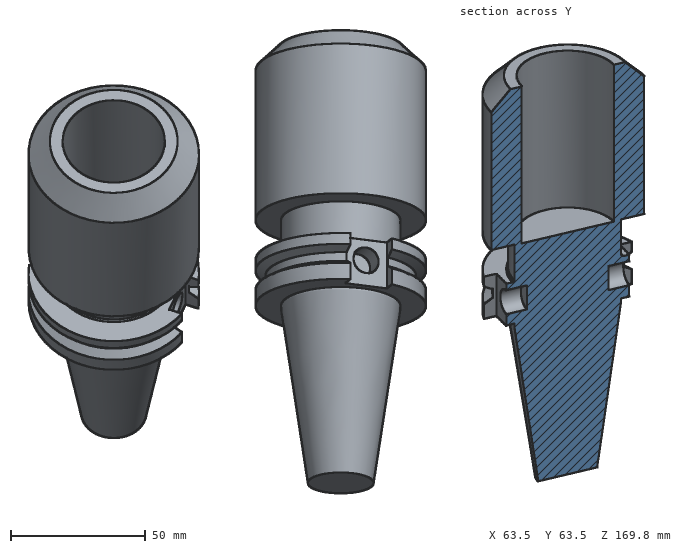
import cadquery as cq

taper_top_z = 68.5
flange_bottom_z = 69.5
flange_top_z = 87.5
body_bottom_z = 103.1
total_height = 169.8

gauge_diameter = 44.5
taper_ratio = 7 / 24
neck_flare = 0.7

flange_diameter = 63.5
groove_diameter = 56.2
groove_floor_bottom_z = 77.8
groove_floor_width = 3.4
groove_side_height = 2.0

body_diameter = 63.5
nose_diameter = 47.5
nose_height = 8.0
bore_diameter = 38.0
bore_depth = total_height - body_bottom_z

slot_width = 16.6
slot_floor_x = 25.5
drive_hole_diameter = 10.0
drive_hole_depth = 8.5

gauge_radius = gauge_diameter / 2
tip_radius = (gauge_diameter - taper_top_z * taper_ratio) / 2
flange_radius = flange_diameter / 2
groove_radius = groove_diameter / 2
body_radius = body_diameter / 2
groove_floor_top_z = groove_floor_bottom_z + groove_floor_width
groove_center_z = groove_floor_bottom_z + groove_floor_width / 2
flange_height = flange_top_z - flange_bottom_z


def turned_holder():
    """Solid of revolution: shank, flange, neck and clamping body."""
    profile = [
        (0, 0),
        (tip_radius, 0),
        (gauge_radius, taper_top_z),
        (gauge_radius, flange_bottom_z),
        (flange_radius, flange_bottom_z),
        (flange_radius, groove_floor_bottom_z - groove_side_height),
        (groove_radius, groove_floor_bottom_z),
        (groove_radius, groove_floor_top_z),
        (flange_radius, groove_floor_top_z + groove_side_height),
        (flange_radius, flange_top_z),
        (gauge_radius + neck_flare, flange_top_z),
        (gauge_radius, flange_top_z + neck_flare),
        (gauge_radius, body_bottom_z),
        (body_radius, body_bottom_z),
        (body_radius, total_height - nose_height),
        (nose_diameter / 2, total_height),
        (0, total_height),
    ]
    return cq.Workplane("XZ").polyline(profile).close().revolve(360, (0, 0), (0, 1))


def tool_bore():
    """Blind bore from the nose down."""
    bottom_z = total_height - bore_depth
    return cq.Workplane("XY", origin=(0, 0, bottom_z)).circle(bore_diameter / 2).extrude(bore_depth)


def drive_slot(side):
    """Slot through the flange and its radial blind hole; side is -1 or +1 along X."""
    slot = (
        cq.Workplane("XY", origin=(side * (slot_floor_x + flange_radius / 2), 0, flange_bottom_z))
        .rect(flange_radius, slot_width)
        .extrude(flange_height)
    )
    hole = (
        cq.Workplane("YZ", origin=(side * slot_floor_x, 0, groove_center_z))
        .circle(drive_hole_diameter / 2)
        .extrude(-side * drive_hole_depth)
    )
    return slot.union(hole)


result = turned_holder().cut(tool_bore())
for side in (-1, 1):
    result = result.cut(drive_slot(side))